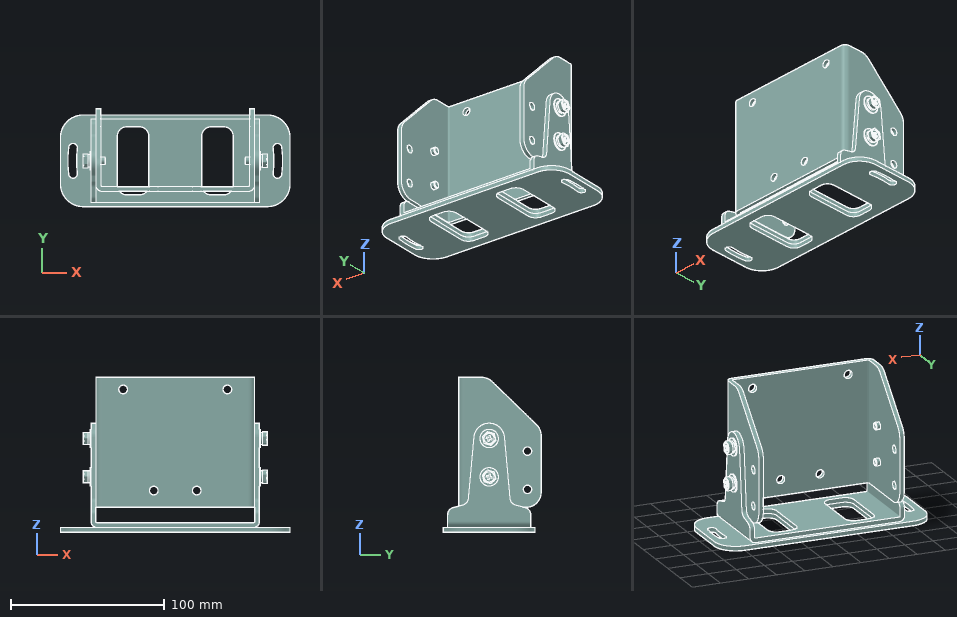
import cadquery as cq
import math

SHEET = 3.2

BASE_LENGTH = 150.0
BASE_WIDTH = 60.0
BASE_CORNER_RADIUS = 15.0
SLOT_ARC_RADIUS = 67.2
SLOT_WIDTH = 5.5
SLOT_HALF_ANGLE = 7.3

OPENING_LENGTH = 20.4
OPENING_WIDTH = 44.2
OPENING_CORNER_RADIUS = 6.0
OPENING_OFFSET = 27.5

PANEL_LENGTH = 103.5
PANEL_HEIGHT = 85.0
PANEL_BOTTOM = 16.2
PANEL_TOP = PANEL_BOTTOM + PANEL_HEIGHT
PANEL_FRONT = -20.0
PANEL_DEPTH = 54.0
PANEL_BACK = PANEL_FRONT + PANEL_DEPTH
PANEL_INNER_BEND = 1.0
FLANGE_TOP_WIDTH = 19.0
FLANGE_SLOPE_DROP = 33.9
FLANGE_CORNER_RADIUS = 10.0
FACE_HOLE_DIAMETER = 5.5
UPPER_HOLE_OFFSET = 34.0
UPPER_HOLE_DROP = 8.0
LOWER_HOLE_OFFSET = 14.0
LOWER_HOLE_RISE = 11.0
FLANGE_HOLE_DIAMETER = 5.3
FLANGE_HOLE_Y = 25.0
LOWER_FLANGE_HOLE_Z = PANEL_BOTTOM + 11.8

BRACKET_LENGTH = PANEL_LENGTH + 2 * SHEET
BRACKET_HALF_WIDTH = 27.2
BRACKET_BOTTOM = SHEET
BRACKET_INNER_BEND = 0.5
EAR_TIP_RADIUS = 10.0
EAR_CORNER_RADIUS = 5.0
EAR_SHOULDER_Z = 15.3
EAR_NECK_Z = 18.6
EAR_NECK_HALF_WIDTH = 13.9

BOLT_SPACING = 25.0
UPPER_BOLT_Z = 61.2
BOLT_HEIGHTS = (UPPER_BOLT_Z - BOLT_SPACING, UPPER_BOLT_Z)
BOLT_DIAMETER = 5.0
BOLT_REACH = 9.5
TIP_CHAMFER = 0.5
WASHER_DIAMETER = 12.0
WASHER_THICKNESS = 0.8
COLLAR_DIAMETER = 8.0
COLLAR_THICKNESS = 1.3
HEAD_ACROSS_FLATS = 8.0
HEAD_HEIGHT = 3.1
HEAD_EDGE_RADIUS = 0.2
DISH_DIAMETER = 6.6
DISH_DEPTH = 0.5
CROSS_LENGTH = 3.8
CROSS_WIDTH = 1.0
CROSS_DEPTH = 1.5
RIGHT_BOLT_TURN = -16.0


def cylinder_along_x(x_start, length, diameter, y, z):
    """Cylinder from x_start towards +X."""
    return cq.Workplane("YZ", origin=(x_start, y, z)).circle(diameter / 2).extrude(length)


def through_hole_along_x(diameter, y, z):
    """Cutter that crosses both sides of a bracket."""
    return cylinder_along_x(-BASE_LENGTH / 2, BASE_LENGTH, diameter, y, z)


def folded_channel(length, depth, inner_bend):
    """U-shaped sheet section in the local XY plane: web along local y = 0, legs towards +y."""
    outer_bend = inner_bend + SHEET
    return (
        cq.Sketch()
        .push([(0, depth / 2)])
        .rect(length, depth)
        .reset()
        .vertices("<Y")
        .fillet(outer_bend)
        .reset()
        .face(
            cq.Sketch()
            .push([(0, depth / 2 + SHEET)])
            .rect(length - 2 * SHEET, depth)
            .reset()
            .vertices("<Y")
            .fillet(inner_bend),
            mode="s",
        )
    )


def cut_floor_openings(body):
    """Cut the pair of rounded rectangular openings vertically through a body."""
    cutters = (
        cq.Workplane("XY")
        .pushPoints([(-OPENING_OFFSET, 0), (OPENING_OFFSET, 0)])
        .rect(OPENING_LENGTH, OPENING_WIDTH)
        .extrude(BRACKET_BOTTOM + SHEET)
        .edges("|Z")
        .fillet(OPENING_CORNER_RADIUS)
    )
    return body.cut(cutters)


def cut_bolt_holes(body):
    for z in BOLT_HEIGHTS:
        body = body.cut(through_hole_along_x(BOLT_DIAMETER, 0, z))
    return body


def swivel_slot(side):
    """Curved slot cutter at the end of the base plate given by side (-1 or +1)."""

    def point(radius, angle):
        turn = math.radians(angle)
        return (side * radius * math.cos(turn), radius * math.sin(turn))

    inner = SLOT_ARC_RADIUS - SLOT_WIDTH / 2
    outer = SLOT_ARC_RADIUS + SLOT_WIDTH / 2
    end_angle = SLOT_HALF_ANGLE + math.degrees(SLOT_WIDTH / 2 / SLOT_ARC_RADIUS)
    return (
        cq.Workplane("XY")
        .moveTo(*point(inner, -SLOT_HALF_ANGLE))
        .threePointArc(point(inner, 0), point(inner, SLOT_HALF_ANGLE))
        .threePointArc(point(SLOT_ARC_RADIUS, end_angle), point(outer, SLOT_HALF_ANGLE))
        .threePointArc(point(outer, 0), point(outer, -SLOT_HALF_ANGLE))
        .threePointArc(point(SLOT_ARC_RADIUS, -end_angle), point(inner, -SLOT_HALF_ANGLE))
        .close()
        .extrude(SHEET)
    )


def make_base_plate():
    plate = (
        cq.Workplane("XY")
        .rect(BASE_LENGTH, BASE_WIDTH)
        .extrude(SHEET)
        .edges("|Z")
        .fillet(BASE_CORNER_RADIUS)
    )
    for side in (-1, 1):
        plate = plate.cut(swivel_slot(side))
    return cut_floor_openings(plate)


def ear_outline():
    """Side profile of the U-bracket, extruded across its whole length."""
    rise = UPPER_BOLT_Z - EAR_NECK_Z
    reach = math.hypot(EAR_NECK_HALF_WIDTH, rise)
    lean = math.atan2(EAR_NECK_HALF_WIDTH, rise) - math.asin(EAR_TIP_RADIUS / reach)
    tangent_y = EAR_TIP_RADIUS * math.cos(lean)
    tangent_z = UPPER_BOLT_Z + EAR_TIP_RADIUS * math.sin(lean)
    profile = (
        cq.Workplane("YZ", origin=(-BRACKET_LENGTH / 2, 0, 0))
        .moveTo(-BRACKET_HALF_WIDTH, BRACKET_BOTTOM)
        .lineTo(BRACKET_HALF_WIDTH, BRACKET_BOTTOM)
        .lineTo(BRACKET_HALF_WIDTH, EAR_SHOULDER_Z)
        .lineTo(EAR_NECK_HALF_WIDTH, EAR_NECK_Z)
        .lineTo(tangent_y, tangent_z)
        .threePointArc((0, UPPER_BOLT_Z + EAR_TIP_RADIUS), (-tangent_y, tangent_z))
        .lineTo(-EAR_NECK_HALF_WIDTH, EAR_NECK_Z)
        .lineTo(-BRACKET_HALF_WIDTH, EAR_SHOULDER_Z)
        .close()
        .extrude(BRACKET_LENGTH)
    )
    shoulder_band = cq.selectors.BoxSelector(
        (-BRACKET_LENGTH, -BASE_WIDTH, EAR_SHOULDER_Z - SHEET),
        (BRACKET_LENGTH, BASE_WIDTH, EAR_NECK_Z + SHEET),
    )
    return profile.edges("|X").edges(shoulder_band).fillet(EAR_CORNER_RADIUS)


def make_u_bracket():
    height = UPPER_BOLT_Z + EAR_TIP_RADIUS - BRACKET_BOTTOM
    channel = (
        cq.Workplane("XZ", origin=(0, BRACKET_HALF_WIDTH, BRACKET_BOTTOM))
        .placeSketch(folded_channel(BRACKET_LENGTH, height, BRACKET_INNER_BEND))
        .extrude(2 * BRACKET_HALF_WIDTH)
    )
    bracket = channel.intersect(ear_outline())
    return cut_floor_openings(cut_bolt_holes(bracket))


def flange_outline():
    """Side profile of the panel, extruded across its whole length."""
    return (
        cq.Workplane("YZ", origin=(-PANEL_LENGTH / 2, 0, 0))
        .moveTo(PANEL_FRONT, PANEL_BOTTOM)
        .lineTo(PANEL_BACK, PANEL_BOTTOM)
        .lineTo(PANEL_BACK, PANEL_TOP - FLANGE_SLOPE_DROP)
        .lineTo(PANEL_FRONT + FLANGE_TOP_WIDTH, PANEL_TOP)
        .lineTo(PANEL_FRONT, PANEL_TOP)
        .close()
        .extrude(PANEL_LENGTH)
        .edges("|X and (not <Y)")
        .fillet(FLANGE_CORNER_RADIUS)
    )


def make_panel():
    channel = (
        cq.Workplane("XY", origin=(0, PANEL_FRONT, PANEL_BOTTOM))
        .placeSketch(folded_channel(PANEL_LENGTH, PANEL_DEPTH, PANEL_INNER_BEND))
        .extrude(PANEL_HEIGHT)
    )
    panel = cut_bolt_holes(channel.intersect(flange_outline()))
    for z in (LOWER_FLANGE_HOLE_Z, LOWER_FLANGE_HOLE_Z + BOLT_SPACING):
        panel = panel.cut(through_hole_along_x(FLANGE_HOLE_DIAMETER, FLANGE_HOLE_Y, z))

    upper_z = PANEL_TOP - UPPER_HOLE_DROP
    lower_z = PANEL_BOTTOM + LOWER_HOLE_RISE
    face_holes = (
        cq.Workplane("XZ", origin=(0, PANEL_FRONT + SHEET, 0))
        .pushPoints([
            (-UPPER_HOLE_OFFSET, upper_z),
            (UPPER_HOLE_OFFSET, upper_z),
            (-LOWER_HOLE_OFFSET, lower_z),
            (LOWER_HOLE_OFFSET, lower_z),
        ])
        .circle(FACE_HOLE_DIAMETER / 2)
        .extrude(SHEET)
    )
    return panel.cut(face_holes)


def make_bolt(z):
    """Hex bolt with its washers, entering the -X ear at height z."""
    ear_face = -BRACKET_LENGTH / 2
    collar_start = ear_face - WASHER_THICKNESS - COLLAR_THICKNESS
    head_end = collar_start - HEAD_HEIGHT

    shank = cylinder_along_x(ear_face, BOLT_REACH, BOLT_DIAMETER, 0, z)
    shank = shank.faces(">X").chamfer(TIP_CHAMFER)
    washer = cylinder_along_x(ear_face - WASHER_THICKNESS, WASHER_THICKNESS, WASHER_DIAMETER, 0, z)
    collar = cylinder_along_x(collar_start, COLLAR_THICKNESS, COLLAR_DIAMETER, 0, z)
    across_corners = HEAD_ACROSS_FLATS / math.cos(math.pi / 6)
    head_plane = cq.Workplane("YZ", origin=(head_end, 0, z))
    head = head_plane.polygon(6, across_corners).extrude(HEAD_HEIGHT)
    head = head.edges("|X").fillet(HEAD_EDGE_RADIUS)

    dish = cylinder_along_x(head_end, DISH_DEPTH, DISH_DIAMETER, 0, z)
    cross_depth = DISH_DEPTH + CROSS_DEPTH
    cross = head_plane.rect(CROSS_LENGTH, CROSS_WIDTH).extrude(cross_depth)
    cross = cross.union(head_plane.rect(CROSS_WIDTH, CROSS_LENGTH).extrude(cross_depth))
    return head.union(collar).union(washer).union(shank).cut(dish).cut(cross)


base_plate = make_base_plate()
u_bracket = make_u_bracket()
panel = make_panel()

bolts = []
for bolt_z in BOLT_HEIGHTS:
    bolt = make_bolt(bolt_z)
    bolts.append(bolt.val())
    right_bolt = bolt.mirror("YZ").rotate((0, 0, bolt_z), (1, 0, bolt_z), RIGHT_BOLT_TURN)
    bolts.append(right_bolt.val())

result = cq.Compound.makeCompound([base_plate.val(), u_bracket.val(), panel.val(), *bolts])